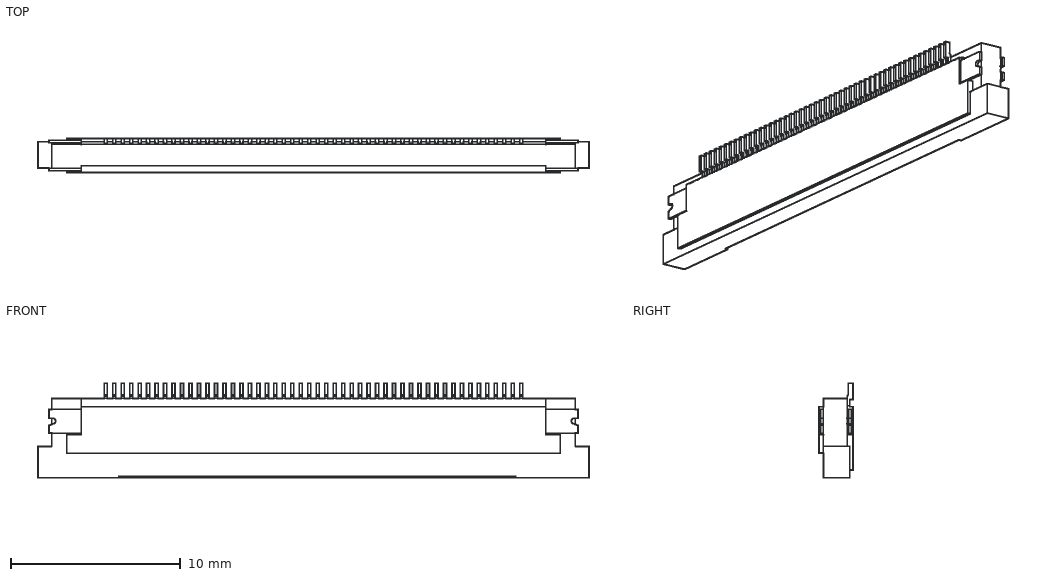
import cadquery as cq

BAR_LENGTH = 32.5
BAR_HEIGHT = 1.85
BAR_BACK = 0.8
BLOCK_LENGTH = 30.88
BLOCK_TOP = 4.68
BLOCK_BACK = 0.65
SLIDER_FRONT = -0.75
RECESS_FRONT = -0.62

BEVEL_LENGTH = 23.4
BEVEL_CENTER_X = 0.23
BEVEL_HEIGHT = 0.1
BEVEL_DEPTH = 0.2

HOUSING_FRONT = -1.0
HOUSING_BACK = 1.0
PLATE_LENGTH = 29.1
PLATE_UPPER_LENGTH = 27.4
PLATE_TOP = 4.2
NOTCH_FLOOR = 2.55
FRONT_PLATE_BOTTOM = 1.45
BACK_PLATE_BOTTOM = 0.45
BACK_STEP_TOP = 4.25

WEB_HEIGHT = 0.32
WEB_BOTTOM = 3.2

TAB_OUTER_X = 15.6
TAB_BOTTOM = 2.63
TAB_TOP = 4.03
TAB_INNER_Y = 0.75
TAB_OUTER_Y = 0.9
TAB_NOTCH_X = 15.37
TAB_NOTCH_Z = 3.35
TAB_NOTCH_RADIUS = 0.15
TAB_NOTCH_MOUTH_BOTTOM = 3.1

PIN_COUNT = 50
PIN_SPAN = 24.5
PIN_PITCH = PIN_SPAN / (PIN_COUNT - 1)
PIN_WIDTH = 0.2
PIN_TOP = 5.6
PIN_TAIL_BOTTOM = 4.6
PIN_TAIL_FRONT = 0.7
PIN_SHOULDER_BOTTOM = 4.8
PIN_SHOULDER_TOP = 4.9


def block(length, front, back, bottom, top, center_x=0.0):
    """Box of the given length along X, between two Y planes and two Z planes."""
    return (
        cq.Workplane("XY")
        .box(length, back - front, top - bottom, centered=(True, False, False))
        .translate((center_x, front, bottom))
    )


def make_web():
    return block(PLATE_UPPER_LENGTH, RECESS_FRONT, BLOCK_BACK, WEB_BOTTOM, WEB_BOTTOM + WEB_HEIGHT)


def make_bevel():
    """Wedge to remove from the lower front edge of the bar."""
    return (
        cq.Workplane("YZ")
        .polyline([
            (SLIDER_FRONT, 0),
            (SLIDER_FRONT + BEVEL_DEPTH, 0),
            (SLIDER_FRONT, BEVEL_HEIGHT),
        ])
        .close()
        .extrude(BEVEL_LENGTH / 2, both=True)
        .translate((BEVEL_CENTER_X, 0, 0))
    )


def make_slider():
    bar = block(BAR_LENGTH, SLIDER_FRONT, BAR_BACK, 0, BAR_HEIGHT)
    upper = block(BLOCK_LENGTH, SLIDER_FRONT, BLOCK_BACK, 0, BLOCK_TOP)
    recess = block(PLATE_UPPER_LENGTH, SLIDER_FRONT, RECESS_FRONT, NOTCH_FLOOR, BLOCK_TOP)
    return bar.union(upper).cut(recess).cut(make_web()).cut(make_bevel())


def make_front_plate():
    lower = block(PLATE_LENGTH, HOUSING_FRONT, SLIDER_FRONT, FRONT_PLATE_BOTTOM, NOTCH_FLOOR)
    upper = block(PLATE_UPPER_LENGTH, HOUSING_FRONT, RECESS_FRONT, NOTCH_FLOOR, PLATE_TOP)
    return lower.union(upper)


def make_back_plate():
    skirt = block(PLATE_LENGTH, BAR_BACK, HOUSING_BACK, BACK_PLATE_BOTTOM, BAR_HEIGHT)
    lower = block(PLATE_LENGTH, BLOCK_BACK, HOUSING_BACK, BAR_HEIGHT, NOTCH_FLOOR)
    upper = block(PLATE_UPPER_LENGTH, BLOCK_BACK, HOUSING_BACK, NOTCH_FLOOR, PLATE_TOP)
    step = block(PLATE_UPPER_LENGTH, BLOCK_BACK, BAR_BACK, PLATE_TOP, BACK_STEP_TOP)
    return skirt.union(lower).union(upper).union(step)


def make_tab():
    """Left front fixing tab, with a round-ended notch in its outer edge."""
    return (
        cq.Workplane("XZ", origin=(0, -TAB_INNER_Y, 0))
        .moveTo(-PLATE_UPPER_LENGTH / 2, TAB_BOTTOM)
        .lineTo(-PLATE_UPPER_LENGTH / 2, TAB_TOP)
        .lineTo(-TAB_OUTER_X, TAB_TOP)
        .lineTo(-TAB_OUTER_X, TAB_NOTCH_Z + TAB_NOTCH_RADIUS)
        .lineTo(-TAB_NOTCH_X, TAB_NOTCH_Z + TAB_NOTCH_RADIUS)
        .threePointArc(
            (-TAB_NOTCH_X + TAB_NOTCH_RADIUS, TAB_NOTCH_Z),
            (-TAB_NOTCH_X, TAB_NOTCH_Z - TAB_NOTCH_RADIUS),
        )
        .lineTo(-TAB_OUTER_X, TAB_NOTCH_MOUTH_BOTTOM)
        .lineTo(-TAB_OUTER_X, TAB_BOTTOM)
        .close()
        .extrude(TAB_OUTER_Y - TAB_INNER_Y)
    )


def make_pin(x):
    """Pin with a foot on the back ledge and a tail stepped out to the back of the housing."""
    return (
        cq.Workplane("YZ")
        .polyline([
            (BLOCK_BACK, BACK_STEP_TOP),
            (BAR_BACK, BACK_STEP_TOP),
            (BAR_BACK, PIN_TAIL_BOTTOM),
            (HOUSING_BACK, PIN_TAIL_BOTTOM),
            (HOUSING_BACK, PIN_TOP),
            (PIN_TAIL_FRONT, PIN_TOP),
            (PIN_TAIL_FRONT, PIN_SHOULDER_TOP),
            (BLOCK_BACK, PIN_SHOULDER_BOTTOM),
        ])
        .close()
        .extrude(PIN_WIDTH / 2, both=True)
        .translate((x, 0, 0))
    )


def make_housing():
    housing = make_front_plate().union(make_back_plate()).union(make_web())
    front_left = make_tab()
    front_right = front_left.mirror("YZ")
    for tab in (front_left, front_right):
        housing = housing.union(tab).union(tab.mirror("XZ"))
    first_pin_x = -PIN_SPAN / 2
    for index in range(PIN_COUNT):
        housing = housing.union(make_pin(first_pin_x + index * PIN_PITCH))
    return housing


slider = make_slider()
housing = make_housing()

result = cq.Compound.makeCompound([slider.solids().val(), housing.solids().val()])